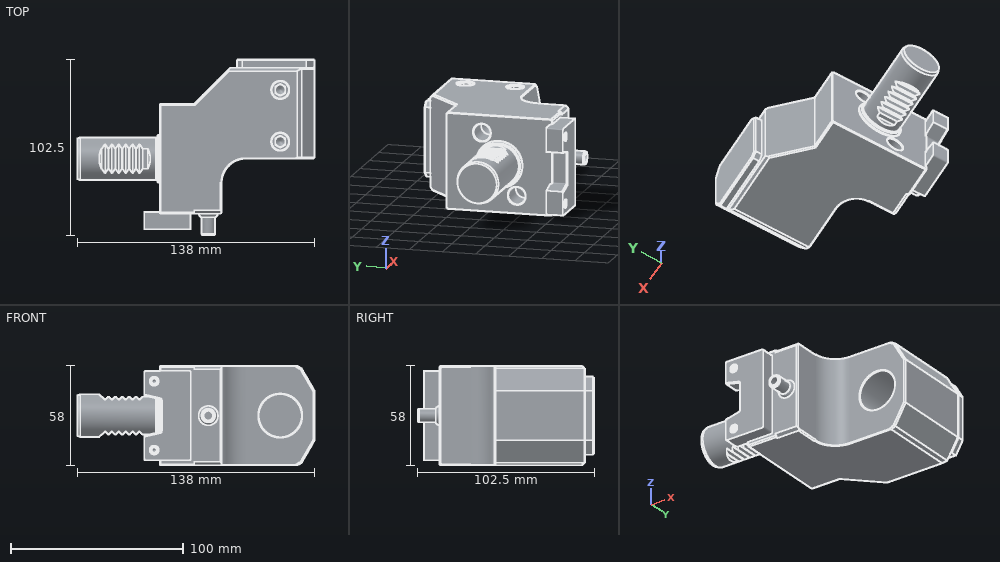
import cadquery as cq
import math


body_height = 58.0
half_height = body_height / 2
body_end = 90.0
foot_width = 36.0
foot_bottom = -32.0
step_top = 32.0
step_length = 20.0
head_top = 53.0
head_bottom = 0.0
inner_radius = 14.0
slope_end = step_length + head_top - step_top

end_half_flat = 14.4
end_shoulder_x = 82.4
end_shoulder_z = 27.5
end_top_x = 79.8

wide_chamfer = 2.1
edge_chamfer = 0.8
fine_chamfer = 0.4
edge_tolerance = 0.07

bore_x = 70.0
bore_diameter = 25.0
cover_start = 44.7
cover_thickness = 5.0
cover_half_height = 22.8
cover_corner = 3.2

shank_diameter = 25.0
shank_radius = shank_diameter / 2
shank_length = 48.0
shank_tip_length = 1.8
shank_tip_drop = 0.7
neck_start = -2.5
neck_radius = 12.1
collar_length = 1.7
collar_radius = 14.1
collar_bevel = 1.0
tooth_count = 6
tooth_pitch = 4.0
tooth_root_z = 9.2
tooth_flat_z = 11.0
first_root_x = -31.9
rack_start = -34.0
rack_end = -7.0

face_hole_y = 10.5
face_hole_z = 18.2
face_hole_diameter = 10.2
face_hole_chamfer = 0.4
face_hole_depth = 16.5
drill_point_angle = 118

plate_start = -9.1
plate_end = 18.0
plate_half_height = 26.1
plate_inner = -30.9
plate_outer = -41.0
plate_corner = 1.0
notch_mouth = 11.6
notch_floor = 9.4
notch_floor_x = 0.5
notch_corner = 1.0
notch_bevel = 0.7

nozzle_x = 28.2
nozzle_tip = -44.5
nozzle_radius = 4.0
nozzle_bore_radius = 2.8
nozzle_bore_depth = 11.0
nozzle_base_radius = 5.7
nozzle_bulge_radius = 5.2
nozzle_base_height = 2.1

clamp_screw_diameter = 10.8
clamp_screw_ys = (10.0, 40.0)
clamp_socket = 6.1
clamp_socket_depth = 4.1
plate_screw_diameter = 5.2
plate_screw_x = -3.3
plate_screw_z = 20.0
plate_socket = 3.0
plate_socket_depth = 2.0
screw_recess = 0.4


def end_profile():
    """Side outline shared by the body and the cover, in the XZ plane."""
    upper = [(end_top_x, half_height), (end_shoulder_x, end_shoulder_z), (body_end, end_half_flat)]
    lower = [(x, -z) for x, z in reversed(upper)]
    return [(0, half_height)] + upper + lower + [(0, -half_height)]


def extrude_y(sketch, y_low, y_high):
    """Extrude an XZ outline between two Y levels."""
    return sketch.extrude(y_high - y_low).translate((0, y_high, 0))


def chamfer_where(solid, size, test):
    """Chamfer every edge whose bounding box satisfies the test."""
    edges = [e for e in solid.edges().vals() if test(e.BoundingBox())]
    return solid.newObject(edges).chamfer(size)


def near(a, b):
    return abs(a - b) < edge_tolerance


def cross_section():
    """Body outline across X, with the bevels of the foot and of the head."""
    foot_z = half_height - edge_chamfer
    head_z = half_height - wide_chamfer
    right_side = [
        (foot_bottom, foot_z),
        (foot_bottom + edge_chamfer, half_height),
        (head_top - wide_chamfer, half_height),
        (head_top, head_z),
    ]
    left_side = [(y, -z) for y, z in reversed(right_side)]
    return cq.Workplane("YZ").polyline(right_side + left_side).close().extrude(body_end)


def make_body():
    plan = (
        cq.Workplane("XY", origin=(0, 0, -half_height))
        .moveTo(0, foot_bottom)
        .lineTo(foot_width, foot_bottom)
        .lineTo(foot_width, head_bottom - inner_radius)
        .radiusArc((foot_width + inner_radius, head_bottom), inner_radius)
        .lineTo(body_end, head_bottom)
        .lineTo(body_end, head_top)
        .lineTo(slope_end, head_top)
        .lineTo(step_length, step_top)
        .lineTo(0, step_top)
        .close()
        .extrude(body_height)
    )
    side = extrude_y(cq.Workplane("XZ").polyline(end_profile()).close(), foot_bottom, head_top)
    return plan.intersect(side).intersect(cross_section())


def flat_z(box):
    """True for an edge lying in the top or bottom face of the body."""
    return near(box.zmin, box.zmax) and near(abs(box.zmin), half_height)


def wedge(plane, corner, leg, start, length):
    """Prism that cuts a 45 degree bevel along a straight edge through the corner."""
    across, up = corner
    return (
        cq.Workplane(plane)
        .workplane(offset=start)
        .polyline([(across, up), (across + math.copysign(leg, -across), up), (across, up - leg)])
        .close()
        .extrude(length)
    )


def cut_both_sides(solid, tool):
    """Cut with a tool and with its mirror image below the XY plane."""
    return solid.cut(tool).cut(tool.mirror("XY"))


def break_edges(body):
    def on_free_end(box, y):
        return near(box.ymin, y) and near(box.ymax, y) and box.xmin > end_top_x - edge_tolerance

    def along_slope(box):
        beyond_step = box.ymin > step_top - edge_tolerance
        return flat_z(box) and beyond_step and box.xmax < slope_end + edge_tolerance

    def along_foot(box):
        below_head = box.ymax < head_bottom + edge_tolerance
        return flat_z(box) and near(box.xmin, foot_width) and below_head

    body = chamfer_where(body, edge_chamfer, lambda b: on_free_end(b, head_bottom))
    body = chamfer_where(body, edge_chamfer, lambda b: on_free_end(b, head_top))
    body = chamfer_where(body, edge_chamfer, along_slope)
    body = chamfer_where(body, fine_chamfer, along_foot)
    body = chamfer_where(body, fine_chamfer, lambda b: near(b.xmax, 0))
    body = chamfer_where(body, edge_chamfer, lambda b: near(b.xmin, foot_width) and near(b.ymax, foot_bottom))
    straight_length = head_bottom - inner_radius - foot_bottom
    foot_corner = (foot_width, half_height)
    foot_side = wedge("XZ", foot_corner, edge_chamfer, inner_radius - head_bottom, straight_length)
    body = cut_both_sides(body, foot_side)
    foot_end = wedge("YZ", (foot_bottom, half_height), wide_chamfer, step_length, foot_width - step_length)
    return cut_both_sides(body, foot_end)


def make_cover():
    """Plate closing the bar bore, with two corners cut off and a bevelled outer rim."""
    cover_top = head_top + cover_thickness
    plate = (
        cq.Workplane("XY")
        .box(body_end - cover_start, cover_thickness, 2 * cover_half_height, centered=(False, False, True))
        .edges("|Y and <X")
        .chamfer(cover_corner)
        .translate((cover_start, head_top, 0))
    )
    side = extrude_y(cq.Workplane("XZ").polyline(end_profile()).close(), head_top, cover_top)
    return plate.intersect(side).faces(">Y").edges().chamfer(edge_chamfer)


def make_bore():
    """Bar bore through the head, closed at its end by the cover."""
    bore = extrude_y(cq.Workplane("XZ").center(bore_x, 0).circle(bore_diameter / 2), head_bottom, head_top)
    mouth = cq.Workplane("XZ").center(bore_x, 0).circle(bore_diameter / 2 + fine_chamfer)
    return bore.union(mouth.extrude(-fine_chamfer, taper=45))


def make_shank():
    blank = (
        cq.Workplane("XY")
        .polyline(
            [
                (-shank_length, 0),
                (-shank_length, shank_radius - shank_tip_drop),
                (-shank_length + shank_tip_length, shank_radius),
                (neck_start, shank_radius),
                (-collar_length, neck_radius),
                (-collar_length, collar_radius - collar_bevel),
                (-collar_length + collar_bevel, collar_radius),
                (0, collar_radius),
                (0, 0),
            ]
        )
        .close()
        .revolve(360, (0, 0, 0), (1, 0, 0))
    )
    return cut_both_sides(blank, make_rack_tool())


def make_rack_tool():
    """Space above the 90 degree teeth, running across the shank."""
    tooth_depth = tooth_flat_z - tooth_root_z
    ramp = collar_radius - tooth_flat_z
    outline = [(rack_start - ramp, collar_radius), (rack_start, tooth_flat_z)]
    for i in range(tooth_count):
        root_x = first_root_x + i * tooth_pitch
        outline += [
            (root_x - tooth_depth, tooth_flat_z),
            (root_x, tooth_root_z),
            (root_x + tooth_depth, tooth_flat_z),
        ]
    outline += [(rack_end, tooth_flat_z), (rack_end + ramp, collar_radius)]
    return extrude_y(cq.Workplane("XZ").polyline(outline).close(), -collar_radius, collar_radius)


def make_face_hole(y, z, pointed):
    """Blind hole going in along X, with an optional drill point."""
    radius = face_hole_diameter / 2
    mouth = radius + face_hole_chamfer
    point = radius / math.tan(math.radians(drill_point_angle / 2)) if pointed else 0
    outline = [(0, 0), (0, mouth), (face_hole_chamfer, radius), (face_hole_depth, radius)]
    outline.append((face_hole_depth + point, 0))
    hole = cq.Workplane("XY").polyline(outline).close().revolve(360, (0, 0, 0), (1, 0, 0))
    return hole.translate((0, y, z))


def make_stop_plate():
    plate = extrude_y(
        cq.Workplane("XZ")
        .center((plate_start + plate_end) / 2, 0)
        .rect(plate_end - plate_start, 2 * plate_half_height),
        plate_outer,
        plate_inner,
    )
    plate = plate.edges("|Y").fillet(plate_corner)
    notch = extrude_y(
        cq.Workplane("XZ")
        .moveTo(plate_start, notch_mouth)
        .lineTo(notch_floor_x, notch_floor)
        .lineTo(notch_floor_x, -notch_floor)
        .lineTo(plate_start, -notch_mouth)
        .close(),
        plate_outer,
        plate_inner,
    )
    notch = notch.edges("|Y and >X").fillet(notch_corner)
    plate = plate.cut(notch)
    return chamfer_where(
        plate,
        notch_bevel,
        lambda b: near(b.ymax, plate_outer) and near(b.xmin, notch_floor_x) and near(b.xmax, notch_floor_x),
    )


def make_nozzle():
    """Coolant nozzle below the foot, on a rounded base."""
    return (
        cq.Workplane("XY", origin=(nozzle_x, 0, 0))
        .moveTo(0, foot_bottom)
        .lineTo(nozzle_base_radius, foot_bottom)
        .threePointArc(
            (nozzle_bulge_radius, foot_bottom - nozzle_base_height / 2),
            (nozzle_radius, foot_bottom - nozzle_base_height),
        )
        .lineTo(nozzle_radius, nozzle_tip + edge_chamfer)
        .lineTo(nozzle_radius - fine_chamfer, nozzle_tip)
        .lineTo(0, nozzle_tip)
        .close()
        .revolve(360, (0, 0, 0), (0, 1, 0))
    )


def make_nozzle_bore():
    bore = cq.Workplane("XZ").center(nozzle_x, 0).circle(nozzle_bore_radius)
    return extrude_y(bore, nozzle_tip, nozzle_tip + nozzle_bore_depth)


def make_screw_recess(diameter, socket, depth):
    """Recess sunk along -Z at a socket screw, with a hexagon socket and a conical bottom."""
    corner_radius = socket / math.sqrt(3)
    hexagon = cq.Workplane("XY").polygon(6, 2 * corner_radius).extrude(-depth)
    hexagon = hexagon.rotate((0, 0, 0), (0, 0, 1), 30)
    point = socket / 2 / math.tan(math.radians(drill_point_angle / 2))
    cone = (
        cq.Workplane("XZ")
        .polyline([(0, 0), (socket / 2, 0), (socket / 2, -depth), (0, -depth - point)])
        .close()
        .revolve(360, (0, 0, 0), (0, 1, 0))
    )
    ring = cq.Workplane("XY").circle(diameter / 2).extrude(-screw_recess, taper=45)
    return hexagon.union(cone).union(ring)


result = break_edges(make_body()).cut(make_bore()).union(make_cover())

result = result.union(make_shank())
result = result.cut(make_face_hole(face_hole_y, face_hole_z, pointed=True))
result = result.cut(make_face_hole(-face_hole_y, -face_hole_z, pointed=False))

result = result.union(make_stop_plate())
result = result.union(make_nozzle()).cut(make_nozzle_bore())

clamp_recess = make_screw_recess(clamp_screw_diameter, clamp_socket, clamp_socket_depth)
for screw_y in clamp_screw_ys:
    result = result.cut(clamp_recess.translate((bore_x, screw_y, half_height)))

plate_recess = make_screw_recess(plate_screw_diameter, plate_socket, plate_socket_depth)
plate_recess = plate_recess.rotate((0, 0, 0), (1, 0, 0), 90)
for screw_z in (-plate_screw_z, plate_screw_z):
    result = result.cut(plate_recess.translate((plate_screw_x, plate_outer, screw_z)))